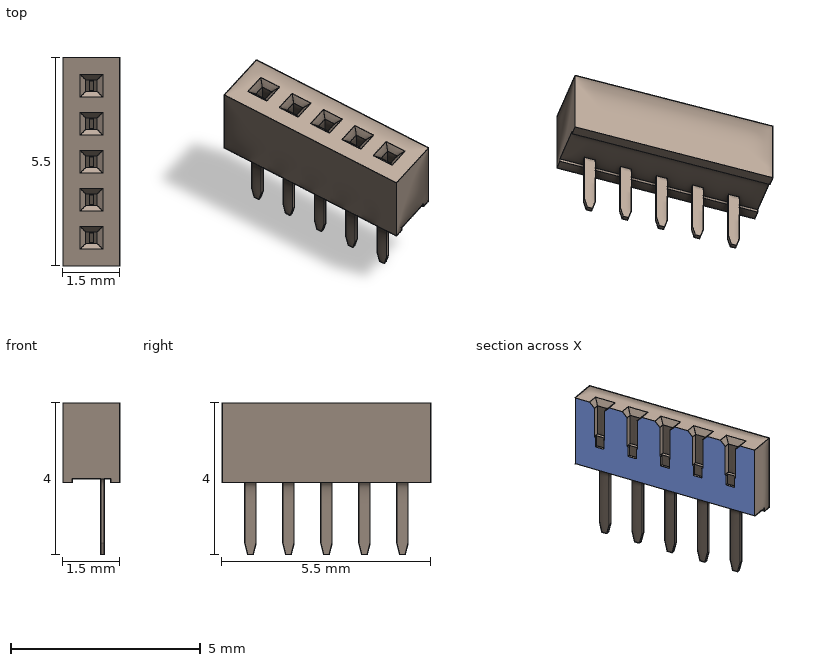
import cadquery as cq

housing_width = 1.5
housing_length = 5.5
housing_height = 2.1
foot_width = 0.25
foot_height = 0.1

contact_count = 5
pitch = 1.0

mouth_side = 0.6
throat_side = 0.3
funnel_depth = 0.15
socket_depth = 1.0
slot_width = 0.11
slot_length = 0.25
slot_depth = 0.3
slot_lead_depth = funnel_depth * (throat_side - slot_length) / (mouth_side - throat_side)

total_height = 4.0
pin_offset = 0.29
pin_thickness = 0.1
pin_width = 0.3
tip_width = 0.15
tip_height = 0.3
pin_bottom = housing_height - total_height

row_positions = [(i - (contact_count - 1) / 2) * pitch for i in range(contact_count)]


def make_housing():
    """Block with a full-length channel underneath, leaving a foot on each side."""
    block = cq.Workplane("XY").box(housing_width, housing_length, housing_height, centered=(True, True, False))
    channel_width = housing_width - 2 * foot_width
    channel = cq.Workplane("XY").box(channel_width, housing_length, foot_height, centered=(True, True, False))
    return block.cut(channel)


def make_socket(y):
    """Cavity of one socket: tapered mouth, straight throat and floor slot with sloped ends."""
    funnel = (
        cq.Workplane("XY", origin=(0, y, housing_height))
        .rect(mouth_side, mouth_side)
        .workplane(offset=-funnel_depth)
        .rect(throat_side, throat_side)
        .loft(ruled=True)
    )
    throat = (
        cq.Workplane("XY", origin=(0, y, housing_height - funnel_depth))
        .rect(throat_side, throat_side)
        .extrude(funnel_depth - socket_depth)
    )
    slot_lead = (
        cq.Workplane("XY", origin=(0, y, housing_height - socket_depth))
        .rect(slot_width, throat_side)
        .workplane(offset=-slot_lead_depth)
        .rect(slot_width, slot_length)
        .loft(ruled=True)
    )
    slot = (
        cq.Workplane("XY", origin=(0, y, housing_height - socket_depth))
        .rect(slot_width, slot_length)
        .extrude(-slot_depth)
    )
    return funnel.union(throat).union(slot_lead).union(slot)


def make_pin(y):
    """One solder pin, from the channel roof down to its tapered tip."""
    shoulder = pin_bottom + tip_height
    outline = [
        (-pin_width / 2, foot_height),
        (-pin_width / 2, shoulder),
        (-tip_width / 2, pin_bottom),
        (tip_width / 2, pin_bottom),
        (pin_width / 2, shoulder),
        (pin_width / 2, foot_height),
    ]
    return (
        cq.Workplane("YZ", origin=(pin_offset, y, 0))
        .polyline(outline)
        .close()
        .extrude(pin_thickness / 2, both=True)
    )


result = make_housing()
for row_y in row_positions:
    result = result.cut(make_socket(row_y)).union(make_pin(row_y))